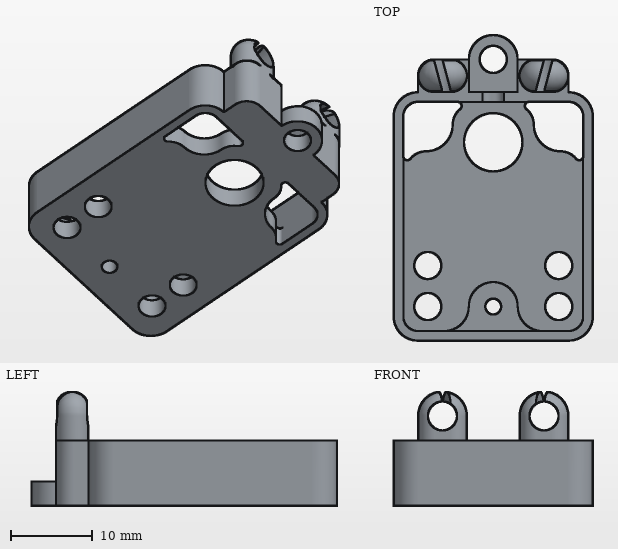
import cadquery as cq
import math

BOX_WIDTH = 24.4
BOX_LENGTH = 30.4
BOX_HEIGHT = 8.0
WALL = 1.2
FLOOR = 3.2
CORNER_RADIUS = 3.0
CAVITY_WIDTH = BOX_WIDTH - 2 * WALL
CAVITY_BACK = BOX_LENGTH - WALL
CAVITY_RADIUS = CORNER_RADIUS - WALL

TOTAL_LENGTH = 37.4
LUG_RADIUS = 3.0
LUG_Y = TOTAL_LENGTH - LUG_RADIUS
LUG_HEIGHT = 3.0
SCREW_HOLE = 3.3

POST_WIDTH = 6.0
POST_DEPTH = LUG_Y - BOX_LENGTH
POST_X = BOX_WIDTH / 2 - CORNER_RADIUS - POST_WIDTH / 2
POST_Y = BOX_LENGTH + POST_DEPTH / 2
EYE_Z = 11.0
EYE_DIAMETER = 3.5
SLIT_WIDTH = 1.0
SLIT_ANGLE = 15.0
BLOCK_RADIUS = 2.17

NOTCH_WIDTH = 2.6
NOTCH_BOTTOM = 3.5
NOTCH_FILLET = 1.0

BIG_HOLE = 7.1
BIG_HOLE_Y = 24.27
HOLE_X = 8.0
HOLE_Y = WALL + 3.0
HOLE_PITCH_Y = 5.0
BOSS_RADIUS = 3.0
BOSS_HOLE = 1.9
BOSS_TOP = 7.0

OPENING_INSET = 2.8
OPENING_RADIUS = 3.2
SHOULDER_RADIUS = 2.5
OPENING_FILLET = 0.5


def cylinder(x, y, diameter, height):
    """Upright cylinder standing on the bottom plane."""
    return cq.Workplane("XY").center(x, y).circle(diameter / 2).extrude(height)


def cavity(bottom, height):
    """Rounded prism that fills the inside of the walls."""
    return (
        cq.Workplane("XY", origin=(0, BOX_LENGTH / 2, bottom))
        .rect(CAVITY_WIDTH, BOX_LENGTH - 2 * WALL)
        .extrude(height)
        .edges("|Z")
        .fillet(CAVITY_RADIUS)
    )


def box():
    outer = (
        cq.Workplane("XY", origin=(0, BOX_LENGTH / 2, 0))
        .rect(BOX_WIDTH, BOX_LENGTH)
        .extrude(BOX_HEIGHT)
        .edges("|Z")
        .fillet(CORNER_RADIUS)
    )
    return outer.cut(cavity(FLOOR, BOX_HEIGHT))


def lug():
    """Round-ended tab that runs into the back wall."""
    return (
        cq.Workplane("XY")
        .moveTo(-LUG_RADIUS, CAVITY_BACK)
        .lineTo(-LUG_RADIUS, LUG_Y)
        .threePointArc((0, TOTAL_LENGTH), (LUG_RADIUS, LUG_Y))
        .lineTo(LUG_RADIUS, CAVITY_BACK)
        .close()
        .extrude(LUG_HEIGHT)
    )


def block():
    """Left block under a post, rounded on its outer back corner."""
    outer_x = -POST_X - POST_WIDTH / 2
    return (
        cq.Workplane("XY")
        .moveTo(outer_x, CAVITY_BACK)
        .lineTo(-LUG_RADIUS, CAVITY_BACK)
        .lineTo(-LUG_RADIUS, LUG_Y)
        .lineTo(outer_x, LUG_Y)
        .close()
        .extrude(BOX_HEIGHT)
        .edges("|Z and <X and >Y")
        .fillet(BLOCK_RADIUS)
    )


def post():
    """Left post: an oblong column whose top is the same oblong turned about the Y axis of the eye."""
    end_radius = POST_DEPTH / 2
    flat = POST_WIDTH / 2 - end_radius
    column = (
        cq.Workplane("XY", origin=(-POST_X, POST_Y, BOX_HEIGHT))
        .slot2D(POST_WIDTH, POST_DEPTH)
        .extrude(EYE_Z - BOX_HEIGHT)
    )
    dome = (
        cq.Workplane("XY", origin=(-POST_X, POST_Y, EYE_Z))
        .moveTo(0, -end_radius)
        .lineTo(flat, -end_radius)
        .threePointArc((POST_WIDTH / 2, 0), (flat, end_radius))
        .lineTo(0, end_radius)
        .close()
        .revolve(360, (0, 0), (0, 1))
    )
    eye = (
        cq.Workplane("XZ", origin=(-POST_X, POST_Y, EYE_Z))
        .circle(EYE_DIAMETER / 2)
        .extrude(POST_DEPTH, both=True)
    )
    slit = (
        cq.Workplane("XY", origin=(-POST_X, POST_Y, EYE_Z))
        .transformed(rotate=(0, 0, SLIT_ANGLE))
        .rect(SLIT_WIDTH, 2 * POST_DEPTH)
        .extrude(POST_WIDTH)
    )
    return column.union(dome).cut(eye).cut(slit)


def boss():
    """Round boss that flares into the front wall through concave arcs tangent to both."""
    flare = HOLE_Y - WALL
    diagonal = flare * math.sqrt(0.5)
    foot_x = BOSS_RADIUS + flare
    return (
        cq.Workplane("XY")
        .moveTo(-foot_x, WALL)
        .threePointArc((-foot_x + diagonal, HOLE_Y - diagonal), (-BOSS_RADIUS, HOLE_Y))
        .threePointArc((0, HOLE_Y + BOSS_RADIUS), (BOSS_RADIUS, HOLE_Y))
        .threePointArc((foot_x - diagonal, HOLE_Y - diagonal), (foot_x, WALL))
        .close()
        .extrude(BOSS_TOP)
    )


def corner_opening():
    """Left opening, symmetric about the diagonal of the corner.

    u and v are distances from the centre of the main arc; u runs along +X and v along +Y.
    """
    centre_x = -CAVITY_WIDTH / 2 + OPENING_INSET
    centre_y = CAVITY_BACK - OPENING_INSET

    shoulder_u = OPENING_RADIUS + SHOULDER_RADIUS
    fillet_v = OPENING_INSET - OPENING_FILLET
    reach = SHOULDER_RADIUS + OPENING_FILLET
    fillet_u = shoulder_u - math.sqrt(reach**2 - fillet_v**2)
    slope = math.atan2(fillet_v, shoulder_u - fillet_u)

    def on_shoulder(angle):
        return shoulder_u - SHOULDER_RADIUS * math.cos(angle), SHOULDER_RADIUS * math.sin(angle)

    def on_fillet(angle):
        return fillet_u + OPENING_FILLET * math.cos(angle), fillet_v + OPENING_FILLET * math.sin(angle)

    def mirrored(point):
        return -point[1], -point[0]

    wall_end = (fillet_u, OPENING_INSET)
    fillet_middle = on_fillet((math.pi / 2 - slope) / 2)
    fillet_end = on_shoulder(slope)
    shoulder_middle = on_shoulder(slope / 2)
    shoulder_end = (OPENING_RADIUS, 0)
    diagonal = OPENING_RADIUS * math.sqrt(0.5)

    outline = (
        cq.Workplane("XY", origin=(centre_x, centre_y, 0))
        .moveTo(-OPENING_INSET, OPENING_INSET)
        .lineTo(*wall_end)
        .threePointArc(fillet_middle, fillet_end)
        .threePointArc(shoulder_middle, shoulder_end)
        .threePointArc((diagonal, -diagonal), mirrored(shoulder_end))
        .threePointArc(mirrored(shoulder_middle), mirrored(fillet_end))
        .threePointArc(mirrored(fillet_middle), mirrored(wall_end))
        .close()
    )
    return outline.extrude(FLOOR).intersect(cavity(0, FLOOR))


def notch():
    """Opening through the back wall with rounded bottom corners."""
    height = BOX_HEIGHT - NOTCH_BOTTOM
    return (
        cq.Workplane("XY", origin=(0, BOX_LENGTH - WALL / 2, NOTCH_BOTTOM))
        .rect(NOTCH_WIDTH, WALL)
        .extrude(height)
        .edges("|Y and <Z")
        .fillet(NOTCH_FILLET)
    )


def both_sides(left):
    return left.union(left.mirror("YZ"))


result = box().union(boss())
result = result.cut(notch())
result = result.union(lug()).union(both_sides(block())).union(both_sides(post()))
result = result.cut(both_sides(corner_opening()))

result = result.cut(cylinder(0, LUG_Y, SCREW_HOLE, LUG_HEIGHT))
result = result.cut(cylinder(0, BIG_HOLE_Y, BIG_HOLE, FLOOR))
result = result.cut(cylinder(0, HOLE_Y, BOSS_HOLE, BOSS_TOP))
for hole_x in (-HOLE_X, HOLE_X):
    for hole_y in (HOLE_Y, HOLE_Y + HOLE_PITCH_Y):
        result = result.cut(cylinder(hole_x, hole_y, SCREW_HOLE, FLOOR))